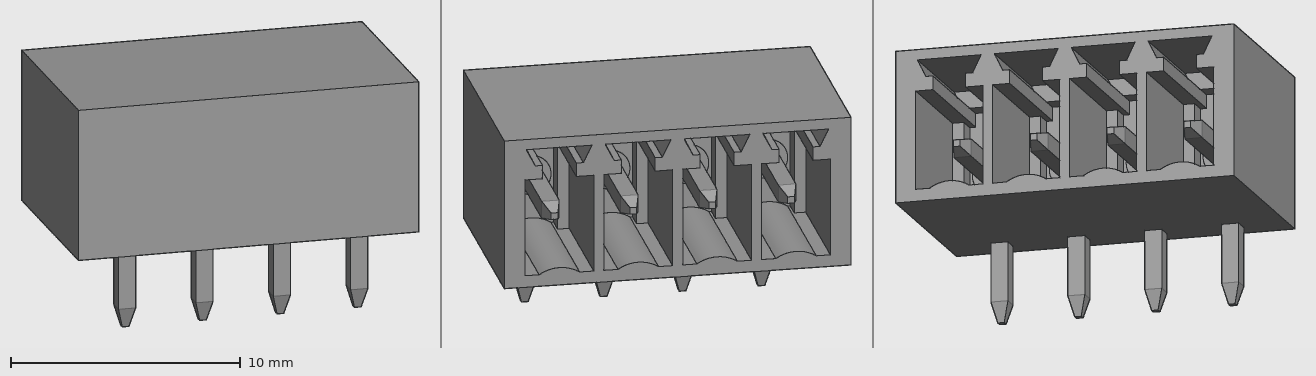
import cadquery as cq


housing_depth = 9.14
housing_width = 15.39
housing_height = 6.85

pole_count = 4
pole_pitch = 3.5
pole_positions = [(i - (pole_count - 1) / 2) * pole_pitch for i in range(pole_count)]

partition_thickness = 0.45
mouth_width = pole_pitch - partition_thickness
mouth_depth = 5.5
inner_width = 2.03
inner_depth = 6.4
socket_floor = 0.54
socket_roof = 4.98

neck_width = 1.5
dovetail_bottom_width = 2.13
dovetail_top_width = 2.9
dovetail_bottom = 5.6
dovetail_top = 6.38

rib_width = 1.8
rib_height = 0.27

pin_size = 0.78
pin_tip_size = 0.3
pin_taper_length = 0.9
pin_axis_height = 2.8
pin_tail_setback = 1.27
pin_tail_x = housing_depth - pin_tail_setback
pin_contact_tip_x = 1.1
pin_tail_length = 3.56

collar_diameter = 1.8
collar_length = pin_tail_x - pin_size / 2 - inner_depth


def slot(width, bottom, top, depth):
    """Rectangular slot cut inward from the mating face."""
    return cq.Workplane("XY").box(depth, width, top - bottom, centered=(False, True, False)).translate(
        (0, 0, bottom)
    )


def dovetail_slot():
    """Latch slot that widens toward the top."""
    return (
        cq.Workplane("YZ")
        .moveTo(-dovetail_bottom_width / 2, dovetail_bottom)
        .lineTo(dovetail_bottom_width / 2, dovetail_bottom)
        .lineTo(dovetail_top_width / 2, dovetail_top)
        .lineTo(-dovetail_top_width / 2, dovetail_top)
        .close()
        .extrude(mouth_depth)
    )


def floor_rib():
    """Shallow circular-segment rib over the full depth of the socket."""
    return (
        cq.Workplane("YZ")
        .moveTo(-rib_width / 2, socket_floor)
        .threePointArc((0, socket_floor + rib_height), (rib_width / 2, socket_floor))
        .close()
        .extrude(inner_depth)
    )


def socket():
    """Complete opening for one pole."""
    mouth = slot(mouth_width, socket_floor, socket_roof, mouth_depth)
    inner_pocket = slot(inner_width, socket_floor, socket_roof, inner_depth)
    neck = slot(neck_width, socket_roof, dovetail_bottom, inner_depth)
    return mouth.union(inner_pocket).union(neck).union(dovetail_slot()).cut(floor_rib())


def tapered_bar(plane, length):
    """Square bar along the plane's normal, tapered at its far end."""
    straight_length = length - pin_taper_length
    shank = cq.Workplane(plane).rect(pin_size, pin_size).extrude(straight_length)
    tip = (
        cq.Workplane(plane)
        .workplane(offset=straight_length)
        .rect(pin_size, pin_size)
        .workplane(offset=pin_taper_length)
        .rect(pin_tip_size, pin_tip_size)
        .loft(ruled=True)
    )
    return shank.union(tip)


def pin(y):
    """L-shaped pin: contact toward the mating face, solder tail downward."""
    contact_start = (pin_tail_x + pin_size / 2, y, pin_axis_height)
    contact_plane = cq.Plane(origin=contact_start, xDir=(0, 1, 0), normal=(-1, 0, 0))
    contact = tapered_bar(contact_plane, contact_start[0] - pin_contact_tip_x)

    tail_start = (pin_tail_x, y, pin_axis_height + pin_size / 2)
    tail_plane = cq.Plane(origin=tail_start, xDir=(1, 0, 0), normal=(0, 0, -1))
    tail = tapered_bar(tail_plane, tail_start[2] + pin_tail_length)
    return contact.union(tail)


def collar_blank(y):
    """Solid cylinder filling the collar's seat."""
    seat_plane = cq.Plane(origin=(inner_depth, y, pin_axis_height), xDir=(0, 1, 0), normal=(1, 0, 0))
    return cq.Workplane(seat_plane).circle(collar_diameter / 2).extrude(collar_length)


def collar(y):
    """Round collar with a square hole for its pin."""
    return collar_blank(y).cut(pin(y))


def housing():
    """Block with a socket, a collar seat and a pin passage for each pole."""
    body = cq.Workplane("XY").box(
        housing_depth, housing_width, housing_height, centered=(False, True, False)
    )
    for y in pole_positions:
        body = body.cut(socket().translate((0, y, 0)))
        body = body.cut(collar_blank(y))
        body = body.cut(pin(y))
    return body


pins = [pin(y).solids().val() for y in pole_positions]
collars = [collar(y).solids().val() for y in pole_positions]

result = cq.Compound.makeCompound([housing().solids().val(), *pins, *collars])